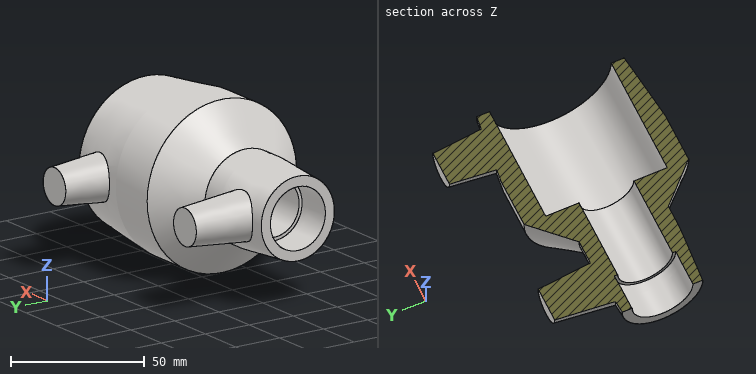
import cadquery as cq

total_length = 100.0
small_end_diameter = 33.3
neck_diameter = 37.0
barrel_diameter = 68.0
large_end_diameter = 61.0
neck_start = 24.7
shoulder_start = 34.5
shoulder_end = shoulder_start + (barrel_diameter - neck_diameter) / 2
barrel_end = 70.5

small_socket_diameter = 25.0
flare_start = 11.0
flare_diameter = 25.2
small_socket_depth = 15.5
throat_diameter = 22.5
large_socket_diameter = 50.0
large_socket_start = shoulder_end

post_tip_diameter = 15.0
post_growth_per_length = 0.19
small_post_x = 15.0
small_post_tip_y = 41.0
large_post_x = 85.0
large_post_tip_y = 52.0


def make_revolved(stations):
    """Solid of revolution about X through (x, diameter) stations."""
    outline = [(x, diameter / 2) for x, diameter in stations]
    start_on_axis = (stations[0][0], 0)
    end_on_axis = (stations[-1][0], 0)
    profile = cq.Workplane("XY").polyline([start_on_axis, *outline, end_on_axis]).close()
    return profile.revolve(360, (0, 0, 0), (1, 0, 0))


def make_body():
    """Outer shape of the reducer without its posts."""
    return make_revolved([
        (0, small_end_diameter),
        (neck_start, neck_diameter),
        (shoulder_start, neck_diameter),
        (shoulder_end, barrel_diameter),
        (barrel_end, barrel_diameter),
        (total_length, large_end_diameter),
    ])


def make_bore():
    """Through bore: small socket, narrow throat, large socket."""
    return make_revolved([
        (0, small_socket_diameter),
        (flare_start, small_socket_diameter),
        (small_socket_depth, flare_diameter),
        (small_socket_depth, throat_diameter),
        (large_socket_start, throat_diameter),
        (large_socket_start, large_socket_diameter),
        (total_length, large_socket_diameter),
    ])


def make_post(post_x, tip_y):
    """Round post that widens from its tip down to the body axis."""
    tip_radius = post_tip_diameter / 2
    root_radius = tip_radius + post_growth_per_length * tip_y / 2
    cone = cq.Solid.makeCone(
        root_radius,
        tip_radius,
        tip_y,
        pnt=cq.Vector(post_x, 0, 0),
        dir=cq.Vector(0, 1, 0),
    )
    return cq.Workplane(cone)


body = make_body()
body = body.union(make_post(small_post_x, small_post_tip_y))
body = body.union(make_post(large_post_x, large_post_tip_y))
result = body.cut(make_bore())